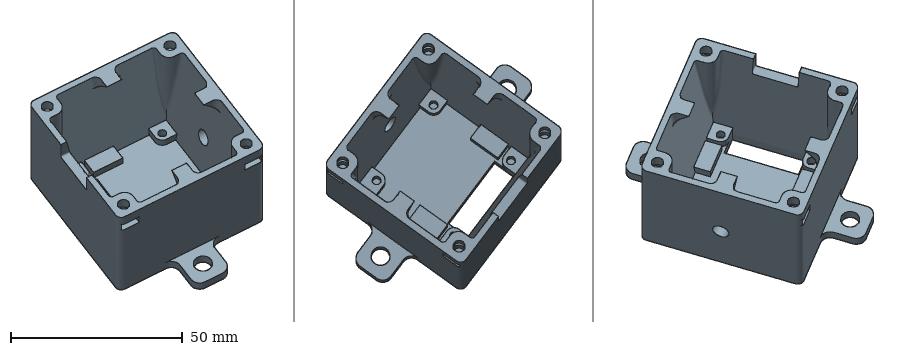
import cadquery as cq
import math

length = 74.0
box_side = 50.0
height = 35.0
box_corner_radius = 2.0
wall = 2.0
floor_thickness = 3.0

half_side = box_side / 2
rim_half = half_side - wall
floor_half = 17.0
cavity_depth = height - floor_thickness
wall_slope = (rim_half - floor_half) / cavity_depth

rooted_half = rim_half - wall

screw_offset = 21.0
screw_hole_diameter = 3.5
screw_hole_depth = 10.0
post_radius = 3.0
post_fillet = 1.0

nut_across_flats = 5.85
nut_slot_height = 2.7
nut_slot_top = height - 3.55

tab_width = 5.1
tab_tip = 17.9
tab_fillet = 2.0

notch_width = 14.1
notch_depth = 6.0
notch_radius = 0.5

cable_hole_diameter = 5.0
cable_hole_z = 15.5

standoff_offset = 14.0
standoff_radius = 2.5
standoff_height = 2.5
standoff_top = floor_thickness + standoff_height
standoff_hole_diameter = 2.5
standoff_hole_depth = 3.0
pad_inner_x = 12.35
pad_back_y = -0.5
pad_front_y = -10.5
window_back_y = -9.9

ear_width = 12.0
ear_thickness = 3.0
ear_radius = 3.0
ear_hole_offset = 31.0
ear_hole_diameter = 5.5

TAB_ANGLES = (0, 90, 180)
SIGNS = (-1, 1)
CORNERS = [(sx, sy) for sx in SIGNS for sy in SIGNS]


def block(x_range, y_range, z_range):
    """Axis-aligned block between pairs of limits."""
    size = [hi - lo for lo, hi in (x_range, y_range, z_range)]
    origin = (x_range[0], y_range[0], z_range[0])
    return cq.Workplane("XY").box(*size, centered=False).translate(origin)


def corner_plan(sx, sy, inner, outer, radius):
    """Square reaching from inner to outer in one quadrant, rounded at its inner corner."""
    bend = radius * (1 - math.sqrt(0.5))
    return (
        cq.Workplane("XY")
        .moveTo(sx * outer, sy * outer)
        .lineTo(sx * inner, sy * outer)
        .lineTo(sx * inner, sy * (inner + radius))
        .threePointArc(
            (sx * (inner + bend), sy * (inner + bend)),
            (sx * (inner + radius), sy * inner),
        )
        .lineTo(sx * outer, sy * inner)
        .close()
    )


def make_body():
    """Solid block with rounded upright edges."""
    body = cq.Workplane("XY").rect(box_side, box_side).extrude(height)
    return body.edges("|Z").fillet(box_corner_radius)


def make_ear(sx):
    """Mounting ear with rounded outer corners and flared roots at the body wall."""
    half_width = ear_width / 2
    tip = length / 2
    flare = ear_radius * math.sqrt(0.5)
    flare_x = half_side + ear_radius
    flare_y = half_width + ear_radius
    ear = (
        cq.Workplane("XY")
        .moveTo(rooted_half, -flare_y)
        .lineTo(half_side, -flare_y)
        .threePointArc((flare_x - flare, flare - flare_y), (flare_x, -half_width))
        .lineTo(tip, -half_width)
        .lineTo(tip, half_width)
        .lineTo(flare_x, half_width)
        .threePointArc((flare_x - flare, flare_y - flare), (half_side, flare_y))
        .lineTo(rooted_half, flare_y)
        .close()
        .extrude(ear_thickness)
        .edges("|Z and >X")
        .fillet(ear_radius)
    )
    return ear if sx > 0 else ear.mirror("YZ")


def make_tab(angle):
    """Rim tab whose underside rises at 45 degrees to a sharp tip."""
    reach = half_side - tab_tip
    return (
        cq.Workplane("XZ")
        .moveTo(tab_tip, height)
        .lineTo(half_side, height)
        .lineTo(half_side, height - reach)
        .close()
        .extrude(tab_width / 2, both=True)
        .rotate((0, 0, 0), (0, 0, 1), angle)
    )


def fillet_nearest(solid, points, radius):
    """Round the edges whose middles lie nearest to the given points."""
    edges = [solid.edges(cq.NearestToPointSelector(point)).val() for point in points]
    return solid.newObject(edges).fillet(radius)


def make_cavity():
    """Inner space: narrowing downward, less the corner posts and the rim tabs."""
    cavity = (
        cq.Workplane("XY", origin=(0, 0, height))
        .rect(2 * rim_half, 2 * rim_half)
        .extrude(-cavity_depth, taper=math.degrees(math.atan(wall_slope)))
    )
    for angle in TAB_ANGLES:
        cavity = cavity.cut(make_tab(angle))
    for sx, sy in CORNERS:
        post = corner_plan(sx, sy, floor_half, half_side, post_radius)
        cavity = cavity.cut(post.extrude(height))

    post_roots = []
    flat_start = floor_half + post_radius
    post_middle = (flat_start + rim_half) / 2
    post_middle_z = height - (rim_half - flat_start) / wall_slope / 2
    for sx, sy in CORNERS:
        post_roots.append((sx * post_middle, sy * floor_half, post_middle_z))
        post_roots.append((sx * floor_half, sy * post_middle, post_middle_z))
    cavity = fillet_nearest(cavity, post_roots, post_fillet)

    tab_roots = []
    tab_root_depth = (rim_half - tab_tip) / (1 + wall_slope)
    tab_middle = rim_half - wall_slope * tab_root_depth / 2
    for angle in TAB_ANGLES:
        for side in SIGNS:
            root = cq.Vertex.makeVertex(tab_middle, side * tab_width / 2, height - tab_root_depth / 2)
            tab_roots.append(root.rotate(cq.Vector(), cq.Vector(0, 0, 1), angle).toTuple())
    return fillet_nearest(cavity, tab_roots, tab_fillet)


def make_notch():
    """Front rim notch with rounded bottom corners."""
    notch = block(
        (-notch_width / 2, notch_width / 2),
        (-half_side, -floor_half),
        (height - notch_depth, height),
    )
    return notch.edges("|Y").edges("<Z").fillet(notch_radius)


def make_cable_hole():
    """Round bore through the back wall only."""
    bore = cq.Workplane("XZ", origin=(0, 0, cable_hole_z)).circle(cable_hole_diameter / 2)
    return bore.extrude(-half_side)


def make_nut_trap(sx, sy):
    """Hexagonal pocket around a screw hole, open through the side wall."""
    across_corners = nut_across_flats / math.cos(math.pi / 6)
    center = (sx * screw_offset, sy * screw_offset, nut_slot_top - nut_slot_height)
    hexagon = cq.Workplane("XY", origin=center).polygon(6, across_corners).extrude(nut_slot_height)
    half_width = nut_across_flats / 2
    x_limits = sorted((sx * screw_offset, sx * half_side))
    y_limits = (center[1] - half_width, center[1] + half_width)
    return hexagon.union(block(x_limits, y_limits, (center[2], nut_slot_top)))


def make_standoff(sx, sy):
    """Low post in a floor corner, running into the sloping walls."""
    plan = corner_plan(sx, sy, standoff_offset - standoff_radius, rooted_half, standoff_radius)
    return plan.extrude(standoff_top)


def make_pad(sx):
    """Flat pad against a side wall, level with the standoffs."""
    x_limits = sorted((sx * pad_inner_x, sx * rooted_half))
    return block(x_limits, (pad_front_y, pad_back_y), (0, standoff_top))


def drill(body, points, diameter, top, depth):
    """Cut round vertical holes downward from the given height."""
    circles = cq.Workplane("XY", origin=(0, 0, top)).pushPoints(points).circle(diameter / 2)
    return body.cut(circles.extrude(-depth))


result = make_body().cut(make_cavity())

for sx, sy in CORNERS:
    result = result.union(make_standoff(sx, sy))
for sx in SIGNS:
    result = result.union(make_pad(sx)).union(make_ear(sx))

result = result.cut(make_notch()).cut(make_cable_hole())
for sx, sy in CORNERS:
    result = result.cut(make_nut_trap(sx, sy))

window_half_width = standoff_offset - standoff_radius
result = result.cut(
    block((-window_half_width, window_half_width), (-floor_half, window_back_y), (0, floor_thickness))
)

screw_points = [(sx * screw_offset, sy * screw_offset) for sx, sy in CORNERS]
standoff_points = [(sx * standoff_offset, sy * standoff_offset) for sx, sy in CORNERS]
ear_points = [(sx * ear_hole_offset, 0) for sx in SIGNS]
result = drill(result, screw_points, screw_hole_diameter, height, screw_hole_depth)
result = drill(result, standoff_points, standoff_hole_diameter, standoff_top, standoff_hole_depth)
result = drill(result, ear_points, ear_hole_diameter, ear_thickness, ear_thickness)